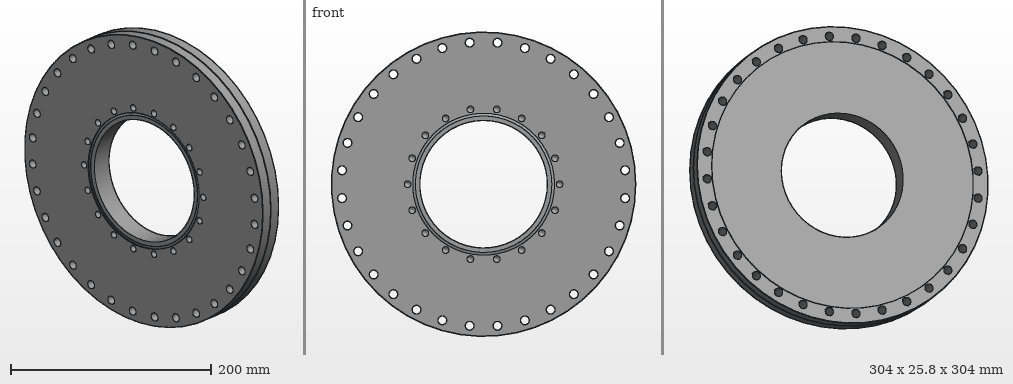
import cadquery as cq
import math

flange_diameter = 304.0
thickness = 25.8
bore_diameter = 127.0
edge_chamfer = 0.45

recess_diameter = 141.7
knife_diameter = 136.2
recess_depth = 1.5
knife_height = 1.0
inner_ledge_depth = 1.05

back_recess_diameter = 273.0
back_recess_depth = 1.05

groove_width = 0.5
groove_depth = 0.3

rim_hole_count = 32
rim_hole_diameter = 8.5
rim_circle_diameter = 284.0

inner_hole_count = 18
inner_hole_diameter = 6.7
inner_circle_diameter = 151.7
inner_hole_depth = 15.2
drill_point_angle = 118.0

front_y = -thickness / 2
back_y = thickness / 2


def revolve_about_y(points):
    """Turn an outline of (radius, y) points into a solid around the Y axis."""
    return cq.Workplane("XY").polyline(points).close().revolve(360, (0, 0, 0), (0, 1, 0))


def flange_body():
    outer = flange_diameter / 2
    bore = bore_diameter / 2
    recess = recess_diameter / 2
    knife = knife_diameter / 2
    back_recess = back_recess_diameter / 2
    floor_y = front_y + recess_depth
    ledge_y = front_y + inner_ledge_depth
    back_floor_y = back_y - back_recess_depth
    return revolve_about_y([
        (bore, ledge_y),
        (knife, ledge_y),
        (knife, floor_y - knife_height),
        (recess, floor_y),
        (recess, front_y),
        (outer - edge_chamfer, front_y),
        (outer, front_y + edge_chamfer),
        (outer, -groove_width / 2),
        (outer - groove_depth, -groove_width / 2),
        (outer - groove_depth, groove_width / 2),
        (outer, groove_width / 2),
        (outer, back_y - edge_chamfer),
        (outer - edge_chamfer, back_y),
        (back_recess, back_y),
        (back_recess, back_floor_y),
        (bore, back_floor_y),
    ])


def rim_hole():
    return revolve_about_y([
        (0, front_y),
        (rim_hole_diameter / 2, front_y),
        (rim_hole_diameter / 2, back_y),
        (0, back_y),
    ])


def inner_hole():
    radius = inner_hole_diameter / 2
    shoulder_y = front_y + inner_hole_depth
    point_length = radius / math.tan(math.radians(drill_point_angle / 2))
    return revolve_about_y([
        (0, front_y),
        (radius, front_y),
        (radius, shoulder_y),
        (0, shoulder_y + point_length),
    ])


def cut_ring(body, hole, count, circle_diameter, start_angle):
    """Cut copies of a hole evenly spaced on a circle about the Y axis."""
    first_hole = hole.translate((circle_diameter / 2, 0, 0))
    for index in range(count):
        angle = start_angle + index * 360 / count
        body = body.cut(first_hole.rotate((0, 0, 0), (0, 1, 0), angle))
    return body


result = flange_body()
result = cut_ring(result, rim_hole(), rim_hole_count, rim_circle_diameter, 180 / rim_hole_count)
result = cut_ring(result, inner_hole(), inner_hole_count, inner_circle_diameter, 0)